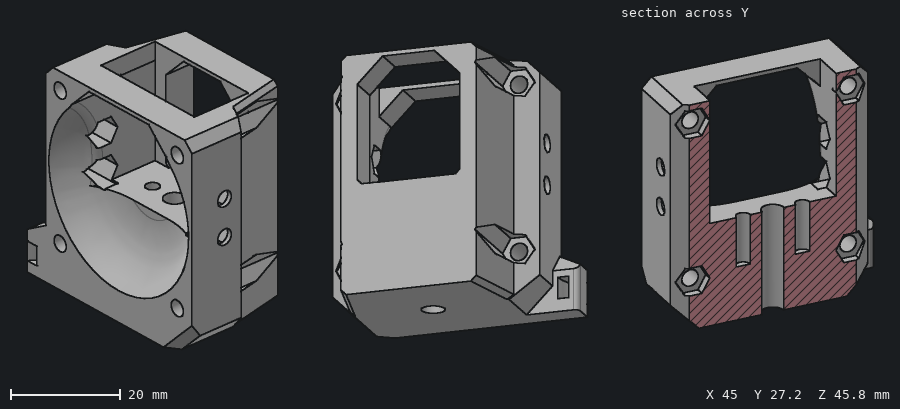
import cadquery as cq
import math

FAN_SIZE = 40.0
HALF_WIDTH = FAN_SIZE / 2
TOP_Z = FAN_SIZE / 2
BOTTOM_Z = -25.8
HEIGHT = TOP_Z - BOTTOM_Z
DEPTH = 27.15

SHOULDER_FRONT_Y = 12.0
SHOULDER_REAR_Y = 14.2
NECK_FRONT_HALF_WIDTH = 15.8
NECK_REAR_HALF_WIDTH = 13.05
TOP_CORNER_CHAMFER = 2.0
BOTTOM_CORNER_CHAMFER = 5.0
NECK_CHAMFER = 1.0
FRONT_CORNER_BEVEL = 2.0

TAB_WIDTH = 5.0
TAB_DEPTH = 5.0
TAB_TIP_Z = -16.8
TAB_SLOPE = math.radians(30)
TAB_BEVEL = 4.0
TAB_EDGE_RADIUS = 1.0
TIE_WIDTH = 4.1
TIE_CENTER_Z = -21.3
TIE_INNER_RADIUS = 7.5
TIE_THICKNESS = 2.05

BOWL_RADIUS = 19.1
BOWL_FLAT_RADIUS = 6.7
BOWL_DEPTH = 7.6
CHAMBER_HALF_WIDTH = 12.75
CHAMBER_FLOOR_Z = -4.9
CHAMBER_ROOF_Z = BOWL_RADIUS
CHAMBER_FRONT_Y = 7.05
CHAMBER_REAR_Y = 20.25
LIP_CORNER = 4.6
MOUTH_FILLET = 2.0
OUTLET_HALF_WIDTH = 9.87
OUTLET_TOP_CORNER = 4.9
OUTLET_BOTTOM_CORNER = 0.85

SCREW_DIAMETER = 3.3
NUT_FLATS = 5.5
NUT_CORNERS = NUT_FLATS / math.cos(math.radians(30))
FAN_HOLE_OFFSET = 16.0
FAN_NUT_FLOOR_Y = 12.0
SIDE_HOLE_Y = 7.95
SIDE_HOLE_ZS = (5.57, -2.43)
SIDE_NUT_INNER_X = 11.0
SIDE_NUT_OUTER_X = 19.0
FLOOR_HOLE_Y = 13.6
CENTER_HOLE_DIAMETER = 4.35
PILOT_DIAMETER = 2.8
PILOT_OFFSET = 6.0
PILOT_DEPTH = 10.0


def prism_along_y(points, y_start, y_end):
    """Extrude an XZ outline from y_start to y_end."""
    plane = cq.Workplane("XZ", origin=(0, y_start, 0))
    return plane.polyline(points).close().extrude(y_start - y_end)


def box_between(x_range, y_range, z_range):
    spans = [high - low for low, high in (x_range, y_range, z_range)]
    corner = (x_range[0], y_range[0], z_range[0])
    return cq.Workplane("XY").box(*spans, centered=False).translate(corner)


def mirrored_outline(right):
    """Close an outline by mirroring its right half to the left."""
    return right + [(-first, second) for first, second in reversed(right)]


def chamfered_rectangle(half_width, bottom, top, bottom_corner, top_corner):
    """XZ outline with cut bottom and top corners."""
    right = [
        (half_width - bottom_corner, bottom),
        (half_width, bottom + bottom_corner),
        (half_width, top - top_corner),
        (half_width - top_corner, top),
    ]
    return mirrored_outline(right)


def make_body():
    right = [
        (HALF_WIDTH, 0),
        (HALF_WIDTH, SHOULDER_FRONT_Y),
        (NECK_FRONT_HALF_WIDTH, SHOULDER_REAR_Y),
        (NECK_REAR_HALF_WIDTH, DEPTH),
    ]
    plan = mirrored_outline(right)
    body = cq.Workplane("XY", origin=(0, 0, BOTTOM_Z)).polyline(plan).close().extrude(HEIGHT)
    middle_x = (NECK_FRONT_HALF_WIDTH + NECK_REAR_HALF_WIDTH) / 2
    middle_y = (SHOULDER_REAR_Y + DEPTH) / 2
    for x in (-middle_x, middle_x):
        for z in (BOTTOM_Z, TOP_Z):
            neck_edge = cq.selectors.NearestToPointSelector((x, middle_y, z))
            body = body.edges(neck_edge).chamfer(NECK_CHAMFER)
    outline = chamfered_rectangle(
        HALF_WIDTH, BOTTOM_Z, TOP_Z, BOTTOM_CORNER_CHAMFER, TOP_CORNER_CHAMFER
    )
    body = body.intersect(prism_along_y(outline, 0, DEPTH))
    corner = (HALF_WIDTH - BOTTOM_CORNER_CHAMFER / 2, 0, BOTTOM_Z + BOTTOM_CORNER_CHAMFER / 2)
    return body.edges(cq.selectors.NearestToPointSelector(corner)).chamfer(FRONT_CORNER_BEVEL)


def make_tab():
    tip_x = -HALF_WIDTH - TAB_WIDTH
    root_z = TAB_TIP_Z + TAB_WIDTH * math.tan(TAB_SLOPE)
    outline = [
        (tip_x, BOTTOM_Z),
        (BOTTOM_CORNER_CHAMFER - HALF_WIDTH, BOTTOM_Z),
        (BOTTOM_CORNER_CHAMFER - HALF_WIDTH, BOTTOM_Z + BOTTOM_CORNER_CHAMFER),
        (-HALF_WIDTH, BOTTOM_Z + BOTTOM_CORNER_CHAMFER),
        (-HALF_WIDTH, root_z),
        (tip_x, TAB_TIP_Z),
    ]
    tab = prism_along_y(outline, 0, TAB_DEPTH)
    tab = tab.edges("|Z and <X and >Y").fillet(TAB_EDGE_RADIUS)
    bevel = (
        cq.Workplane("YZ", origin=(tip_x, 0, 0))
        .polyline([
            (TAB_DEPTH - TAB_BEVEL, root_z),
            (TAB_DEPTH, root_z),
            (TAB_DEPTH, root_z - TAB_BEVEL),
        ])
        .close()
        .extrude(TAB_WIDTH)
    )
    return tab.cut(bevel)


def make_tie_slot():
    """Curved slot from the front of the tab, bending to straight rearward at its rear face."""
    tip_x = -HALF_WIDTH - TAB_WIDTH
    arc_center_x = tip_x - math.sqrt(TIE_INNER_RADIUS**2 - TAB_DEPTH**2)
    bottom_z = TIE_CENTER_Z - TIE_WIDTH / 2
    ring = (
        cq.Workplane("XY", origin=(arc_center_x, TAB_DEPTH, bottom_z))
        .circle(TIE_INNER_RADIUS + TIE_THICKNESS)
        .circle(TIE_INNER_RADIUS)
        .extrude(TIE_WIDTH)
    )
    tab_box = box_between((tip_x, -HALF_WIDTH), (0, TAB_DEPTH), (BOTTOM_Z, TOP_Z))
    return ring.intersect(tab_box)


def make_duct():
    arc_run = BOWL_RADIUS - BOWL_FLAT_RADIUS
    arc_radius = (arc_run**2 + BOWL_DEPTH**2) / (2 * BOWL_DEPTH)
    half_angle = math.asin(arc_run / arc_radius) / 2
    arc_middle = (
        BOWL_FLAT_RADIUS + arc_radius * math.sin(half_angle),
        BOWL_DEPTH - arc_radius * (1 - math.cos(half_angle)),
    )
    bowl = (
        cq.Workplane("XY")
        .moveTo(0, 0)
        .lineTo(BOWL_RADIUS, 0)
        .threePointArc(arc_middle, (BOWL_FLAT_RADIUS, BOWL_DEPTH))
        .lineTo(0, BOWL_DEPTH)
        .close()
        .revolve(360, (0, 0, 0), (0, 1, 0))
    )
    passage_right = [
        (CHAMBER_HALF_WIDTH, CHAMBER_FLOOR_Z),
        (CHAMBER_HALF_WIDTH, CHAMBER_ROOF_Z - LIP_CORNER),
        (CHAMBER_HALF_WIDTH - LIP_CORNER, CHAMBER_ROOF_Z),
    ]
    passage_outline = mirrored_outline(passage_right)
    passage = prism_along_y(passage_outline, 0, CHAMBER_REAR_Y)
    outlet_outline = chamfered_rectangle(
        OUTLET_HALF_WIDTH, CHAMBER_FLOOR_Z, CHAMBER_ROOF_Z, OUTLET_BOTTOM_CORNER, OUTLET_TOP_CORNER
    )
    outlet = prism_along_y(outlet_outline, CHAMBER_REAR_Y, DEPTH)
    window = box_between(
        (-CHAMBER_HALF_WIDTH, CHAMBER_HALF_WIDTH),
        (CHAMBER_FRONT_Y, CHAMBER_REAR_Y),
        (CHAMBER_FLOOR_Z, TOP_Z),
    )
    return bowl.union(passage).union(window).union(outlet)


def round_chamber_mouth(body):
    """Round the edges where the bowl runs into the side walls of the chamber."""
    for side in (-1, 1):
        near_mouth_edge = (side * CHAMBER_HALF_WIDTH, CHAMBER_FRONT_Y, 0)
        mouth_edge = cq.selectors.NearestToPointSelector(near_mouth_edge)
        body = body.edges(mouth_edge).fillet(MOUTH_FILLET)
    return body


def make_fan_fasteners():
    signs = (-1, 1)
    offsets = [(i * FAN_HOLE_OFFSET, k * FAN_HOLE_OFFSET) for i in signs for k in signs]
    holes = cq.Workplane("XZ").pushPoints(offsets).circle(SCREW_DIAMETER / 2).extrude(-DEPTH)
    nuts = (
        cq.Workplane("XZ", origin=(0, FAN_NUT_FLOOR_Y, 0))
        .pushPoints(offsets)
        .polygon(6, NUT_CORNERS)
        .extrude(FAN_NUT_FLOOR_Y - DEPTH)
    )
    return holes.union(nuts)


def make_side_fasteners():
    points = [(SIDE_HOLE_Y, z) for z in SIDE_HOLE_ZS]
    cutter = (
        cq.Workplane("YZ", origin=(-HALF_WIDTH, 0, 0))
        .pushPoints(points)
        .circle(SCREW_DIAMETER / 2)
        .extrude(2 * HALF_WIDTH)
    )
    for start in (-SIDE_NUT_OUTER_X, SIDE_NUT_INNER_X):
        nuts = (
            cq.Workplane("YZ", origin=(start, 0, 0))
            .pushPoints(points)
            .polygon(6, NUT_CORNERS)
            .extrude(SIDE_NUT_OUTER_X - SIDE_NUT_INNER_X)
        )
        cutter = cutter.union(nuts)
    return cutter


def make_floor_holes():
    floor = cq.Workplane("XY", origin=(0, FLOOR_HOLE_Y, CHAMBER_FLOOR_Z))
    center = floor.circle(CENTER_HOLE_DIAMETER / 2).extrude(BOTTOM_Z - CHAMBER_FLOOR_Z)
    pilots = (
        floor.pushPoints([(-PILOT_OFFSET, 0), (PILOT_OFFSET, 0)])
        .circle(PILOT_DIAMETER / 2)
        .extrude(-PILOT_DEPTH)
    )
    return center.union(pilots)


result = (
    round_chamber_mouth(make_body().union(make_tab()).cut(make_duct()))
    .cut(make_tie_slot())
    .cut(make_fan_fasteners())
    .cut(make_side_fasteners())
    .cut(make_floor_holes())
)